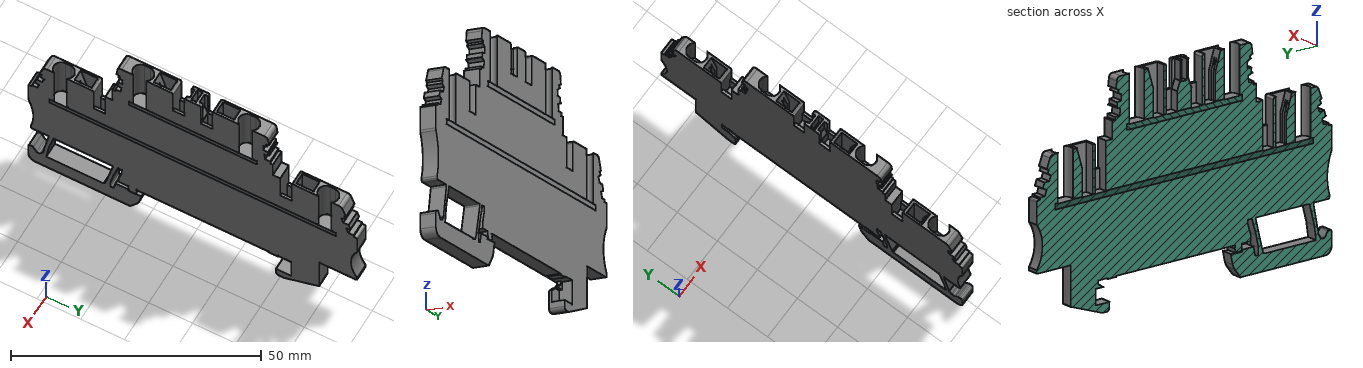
import cadquery as cq
import math


THICKNESS = 3.5
HALF_LENGTH = 37.6
TOP_Z = 49.2
BODY_BOTTOM_Z = 11.8
RAIL_SEAT_Z = 7.1

LEVEL_STEP_Y = 18.1
LEVEL_STEP_Z = 12.9
LEVEL_STEPS = [(0.0, 0.0), (LEVEL_STEP_Y, LEVEL_STEP_Z)]
LOWER_TOP_Z = TOP_Z - LEVEL_STEP_Z

SLOT_INNER_Y = 1.9
SLOT_OUTER_Y = 4.5
SLOT_DEPTH = 6.3
SLOT_FLOOR_Z = TOP_Z - SLOT_DEPTH
SLOT_RIM_RADIUS = 0.45
TOWER_CORNER_RADIUS = 1.0

WIRE_HOLE_Y = 12.1
WIRE_HOLE_LENGTH = 4.6
WIRE_HOLE_RADIUS = 1.65
WIRE_HOLE_X = 2.1
POCKET_INNER_Y = 5.25
POCKET_OUTER_Y = 9.2
POCKET_X = (0.45, 3.0)
RAMP_RUN = 1.35
RAMP_DROP = 4.5
RAMP_SLIT_X = 1.95
RAMP_SLIT_WIDTH = 0.7
RAMP_SLIT_RUN = 0.8
BRIDGE_HOLE_X = (0.7, 2.9)

BAR_X = (0.4, THICKNESS)
BAR_THICKNESS = 1.1
BAR_COVER = 4.35
BAR_TOP_Z = SLOT_FLOOR_Z - BAR_COVER
BAR_END_MARGIN = 0.2
BAR_HALF_LENGTH = WIRE_HOLE_Y + WIRE_HOLE_LENGTH / 2 + BAR_END_MARGIN

TOOTH_GROOVE_X = (0.7, 2.7)
TOOTH_GROOVE_DEPTH = 0.75
TOOTH_RAMP_HEIGHT = 2.0
TOOTH_POCKET_X = (0.4, 3.0)
TOOTH_POCKET_Y = (-0.6, 0.5)
TOOTH_POCKET_DEPTH = 4.5

LEFT_GRIP_RADIUS = 8.8
LEFT_GRIP_Y = 36.15
LEFT_GRIP_Z = 17.4
RIGHT_GRIP_RADIUS = 13.9
RIGHT_GRIP_Y = -36.45
RIGHT_GRIP_Z = 16.5

SIDE_WALL = 0.45
RAIL_LIP_Z = 5.4
FOOT_FLOOR_Z = 3.8
FOOT_CHAMFER = 0.3
HOOK_TIP_Y = 19.0
HOOK_NOTCH_Y = 22.5
HOOK_WALL = 0.6
HOOK_STEP_Z = 2.0
HOOK_RIB_THICKNESS = 0.75


def corner_arc(before, corner, after, radius):
    """Start, middle and end of the arc that rounds a corner."""
    to_before = (cq.Vector(*before[:2]) - cq.Vector(*corner[:2])).normalized()
    to_after = (cq.Vector(*after[:2]) - cq.Vector(*corner[:2])).normalized()
    half_angle = to_before.getAngle(to_after) / 2
    tip = cq.Vector(*corner[:2])
    tangent_length = radius / math.tan(half_angle)
    middle_distance = radius / math.sin(half_angle) - radius
    middle = tip + (to_before + to_after).normalized() * middle_distance
    return tip + to_before * tangent_length, middle, tip + to_after * tangent_length


def plate(points, x_range):
    """Plate with a closed (Y, Z) outline; a third value on a point rounds that corner."""
    last, first = points[-1], points[0]
    edge_middle = ((last[0] + first[0]) / 2, (last[1] + first[1]) / 2)
    path = cq.Workplane("YZ", origin=(x_range[0], 0, 0)).moveTo(*edge_middle)
    for index, point in enumerate(points):
        if len(point) == 2:
            path = path.lineTo(*point)
        else:
            before = points[index - 1]
            after = points[(index + 1) % len(points)]
            start, middle, end = corner_arc(before, point, after, point[2])
            path = path.lineTo(start.x, start.y).threePointArc((middle.x, middle.y), (end.x, end.y))
    return path.close().extrude(x_range[1] - x_range[0])


def block(x_range, y_range, z_range):
    """Axis-aligned box between the given (low, high) limits."""
    size = [high - low for low, high in (x_range, y_range, z_range)]
    corner = (x_range[0], y_range[0], z_range[0])
    return cq.Workplane("XY").box(*size, centered=False).translate(corner)


def upper_profile():
    """Top edge of one half, from the middle tooth outward and down to the end face."""
    lower_inner_y = SLOT_INNER_Y + LEVEL_STEP_Y
    lower_outer_y = SLOT_OUTER_Y + LEVEL_STEP_Y
    lower_floor_z = SLOT_FLOOR_Z - LEVEL_STEP_Z
    middle_tooth = [
        (SLOT_INNER_Y, TOP_Z, SLOT_RIM_RADIUS),
        (SLOT_INNER_Y, SLOT_FLOOR_Z),
        (SLOT_OUTER_Y, SLOT_FLOOR_Z),
        (SLOT_OUTER_Y, TOP_Z, SLOT_RIM_RADIUS),
    ]
    upper_marker_grooves = [
        (17.1, TOP_Z, TOWER_CORNER_RADIUS),
        (17.4, 46.65),
        (16.7, 46.3),
        (17.0, 45.75),
        (16.1, 45.2),
        (16.1, 43.95),
        (17.1, 43.8),
        (17.1, 42.9),
        (17.4, 42.7),
        (16.3, 42.2),
        (16.5, 40.8),
        (17.65, 40.8),
        (17.65, 40.1),
        (18.3, 40.1),
        (18.3, LOWER_TOP_Z),
    ]
    lower_slot = [
        (lower_inner_y, LOWER_TOP_Z),
        (lower_inner_y, lower_floor_z),
        (lower_outer_y, lower_floor_z),
        (lower_outer_y, LOWER_TOP_Z, SLOT_RIM_RADIUS),
    ]
    lower_marker_grooves = [
        (34.0, LOWER_TOP_Z, TOWER_CORNER_RADIUS),
        (35.0, 33.5),
        (34.6, 33.1),
        (34.9, 32.45),
        (34.0, 31.9),
        (34.4, 30.8),
        (35.6, 30.8),
        (36.1, 29.5),
        (35.1, 29.1),
        (35.55, 27.9),
        (36.75, 27.9),
        (36.75, 27.4),
        (HALF_LENGTH, 27.3, 0.2),
    ]
    return middle_tooth + upper_marker_grooves + lower_slot + lower_marker_grooves


def mirrored(points):
    """Outline points reflected to the other half, in reverse order."""
    return [(-point[0], *point[1:]) for point in reversed(points)]


def housing_outline():
    """Closed outline of the housing, including the fixed hook and the spring release foot."""
    fixed_hook = [
        (HALF_LENGTH, BODY_BOTTOM_Z, 0.3),
        (28.9, BODY_BOTTOM_Z),
        (28.9, 3.0, 0.3),
        (20.9, 0.0, 0.75),
        (HOOK_TIP_Y, 0.0, 0.75),
        (HOOK_TIP_Y, 4.35, 0.75),
        (20.7, RAIL_LIP_Z),
        (HOOK_NOTCH_Y, RAIL_LIP_Z),
        (HOOK_NOTCH_Y, RAIL_SEAT_Z),
    ]
    seat_end = [
        (-16.9, RAIL_SEAT_Z),
        (-16.9, 8.65),
        (-16.2, 10.9),
        (-16.2, BODY_BOTTOM_Z),
    ]
    inner_leg = [
        (-17.1, BODY_BOTTOM_Z),
        (-18.2, 8.3),
        (-18.8, 5.4),
        (-18.8, FOOT_FLOOR_Z, 0.2),
        (-18.1, FOOT_FLOOR_Z, 0.2),
        (-17.65, 5.85),
    ]
    release_foot = [
        (-14.9, 5.85),
        (-14.65, RAIL_LIP_Z),
        (-13.1, RAIL_LIP_Z),
        (-11.7, 5.55),
        (-12.4, 2.55, 3.0),
        (-14.3, 0.0),
        (-HALF_LENGTH, 0.0, 1.8),
        (-HALF_LENGTH, 5.25, 0.6),
        (-36.5, 5.25, 0.2),
        (-35.6, FOOT_FLOOR_Z, 0.3),
    ]
    outer_leg = [
        (-34.95, FOOT_FLOOR_Z, 0.3),
        (-34.3, 4.65),
        (-33.0, 11.4),
        (-33.0, BODY_BOTTOM_Z),
    ]
    right_end = [
        (-37.0, BODY_BOTTOM_Z, 0.4),
        (-HALF_LENGTH, 22.5),
    ]
    top = upper_profile()
    bottom = fixed_hook + seat_end + inner_leg + release_foot + outer_leg + right_end
    return mirrored(top) + top + bottom


def foot_window():
    """Opening between the two spring legs of the release foot."""
    outline = [
        (-18.2, BODY_BOTTOM_Z, 0.2),
        (-20.05, FOOT_FLOOR_Z + FOOT_CHAMFER),
        (-20.05 - FOOT_CHAMFER, FOOT_FLOOR_Z),
        (-33.4, FOOT_FLOOR_Z),
        (-33.0, 7.15),
        (-31.8, BODY_BOTTOM_Z, 0.3),
    ]
    return plate(outline, (0, THICKNESS))


def grip(y_deepest, z, radius, side):
    """Round cutter for a finger grip; side is +1 at the +Y end and -1 at the -Y end."""
    center = (y_deepest + side * radius, z)
    return cq.Workplane("YZ").center(*center).circle(radius).extrude(THICKNESS)


def wire_hole(side, y, top_z, floor_z):
    """Oval shaft for a wire, breaking out through the right face."""
    return (
        cq.Workplane("XY", origin=(WIRE_HOLE_X, side * y, floor_z))
        .slot2D(WIRE_HOLE_LENGTH, 2 * WIRE_HOLE_RADIUS, 90)
        .extrude(top_z - floor_z)
    )


def release_pocket(side, shift_y, top_z, floor_z):
    """Rectangular shaft with a slit ramp on its outward wall."""
    inner_y = side * (POCKET_INNER_Y + shift_y)
    outer_y = side * (POCKET_OUTER_Y + shift_y)
    ramp_foot_y = outer_y - side * RAMP_RUN
    slit_end_y = outer_y - side * (RAMP_RUN - RAMP_SLIT_RUN)
    shaft = [
        (inner_y, top_z),
        (inner_y, floor_z),
        (ramp_foot_y, floor_z),
        (ramp_foot_y, top_z - RAMP_DROP),
        (outer_y, top_z),
    ]
    slit_x = (RAMP_SLIT_X - RAMP_SLIT_WIDTH / 2, RAMP_SLIT_X + RAMP_SLIT_WIDTH / 2)
    slit_y = sorted((ramp_foot_y, slit_end_y))
    return plate(shaft, POCKET_X).union(block(slit_x, slit_y, (floor_z, top_z)))


def bridge_hole(side, shift_y, slot_floor_z, floor_z):
    """Rectangular shaft from a bridge slot down to the contact bar."""
    ends = sorted((side * (SLOT_INNER_Y + shift_y), side * (SLOT_OUTER_Y + shift_y)))
    return block(BRIDGE_HOLE_X, ends, (floor_z, slot_floor_z))


def tooth_groove(side):
    """Groove down one face of the middle tooth, ending in a ramp."""
    face_y = side * SLOT_INNER_Y
    back_y = face_y - side * TOOTH_GROOVE_DEPTH
    outline = [
        (face_y, TOP_Z),
        (back_y, TOP_Z),
        (back_y, SLOT_FLOOR_Z + TOOTH_RAMP_HEIGHT),
        (face_y, SLOT_FLOOR_Z),
    ]
    return plate(outline, TOOTH_GROOVE_X)


def rail_details():
    """Rail supports set back behind the left face."""
    full_x = (SIDE_WALL, THICKNESS)
    rib_x = (SIDE_WALL, SIDE_WALL + HOOK_RIB_THICKNESS)
    hook_rib = [
        (HOOK_NOTCH_Y, RAIL_SEAT_Z),
        (21.8, RAIL_SEAT_Z),
        (21.8, 6.3),
        (20.5, RAIL_LIP_Z),
        (HOOK_NOTCH_Y, RAIL_LIP_Z),
    ]
    seat_pad = [
        (19.4, RAIL_SEAT_Z),
        (19.4, 6.85),
        (17.3, 6.85),
        (17.3, RAIL_SEAT_Z),
    ]
    rail_stop = [
        (-12.9, RAIL_SEAT_Z),
        (-12.8, 6.45),
        (-13.0, 5.5),
        (-14.6, 5.5),
        (-14.7, 6.45),
        (-14.7, RAIL_SEAT_Z),
    ]
    return [plate(hook_rib, rib_x), plate(seat_pad, full_x), plate(rail_stop, full_x)]


def hook_step():
    """Space above the lowered part of the hook tip."""
    y_range = (HOOK_TIP_Y, HOOK_NOTCH_Y)
    return block((HOOK_WALL, THICKNESS), y_range, (HOOK_STEP_Z, RAIL_LIP_Z))


def make_contact_bar(shift_y, shift_z):
    """Flat bar joining the two connections of one level."""
    half_length = BAR_HALF_LENGTH + shift_y
    top_z = BAR_TOP_Z - shift_z
    return block(BAR_X, (-half_length, half_length), (top_z - BAR_THICKNESS, top_z))


def make_housing(contact_bars):
    body = plate(housing_outline(), (0, THICKNESS)).cut(foot_window())
    body = body.cut(grip(LEFT_GRIP_Y, LEFT_GRIP_Z, LEFT_GRIP_RADIUS, 1))
    body = body.cut(grip(RIGHT_GRIP_Y, RIGHT_GRIP_Z, RIGHT_GRIP_RADIUS, -1))
    body = body.cut(hook_step())
    for detail in rail_details():
        body = body.union(detail)

    body = body.cut(block(TOOTH_POCKET_X, TOOTH_POCKET_Y, (TOP_Z - TOOTH_POCKET_DEPTH, TOP_Z)))
    for side in (1, -1):
        body = body.cut(tooth_groove(side))
        for shift_y, shift_z in LEVEL_STEPS:
            top_z = TOP_Z - shift_z
            floor_z = BAR_TOP_Z - shift_z
            body = body.cut(wire_hole(side, WIRE_HOLE_Y + shift_y, top_z, floor_z))
            body = body.cut(release_pocket(side, shift_y, top_z, floor_z))
            body = body.cut(bridge_hole(side, shift_y, SLOT_FLOOR_Z - shift_z, floor_z))

    for bar in contact_bars:
        body = body.cut(bar)
    return body


contact_bars = [make_contact_bar(shift_y, shift_z) for shift_y, shift_z in LEVEL_STEPS]
housing = make_housing(contact_bars)

result = cq.Compound.makeCompound([housing.val(), *[bar.val() for bar in contact_bars]])